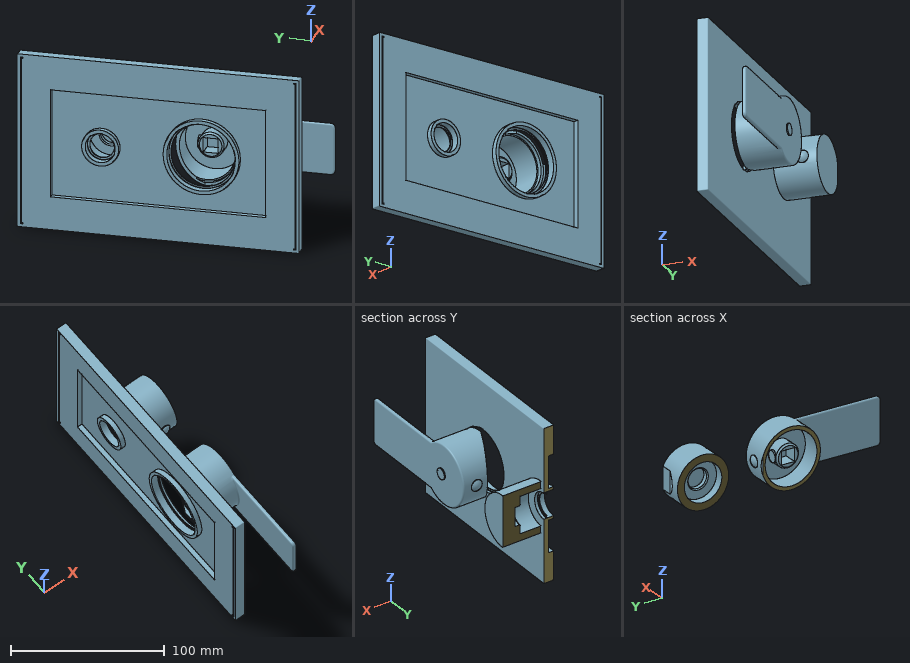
import cadquery as cq
import math


plate_thickness = 8.0
plate_length = 190.0
plate_height = 120.0
plate_edge_radius = 0.6
pocket_length = 145.0
pocket_height = 74.3
pocket_depth = 3.7

sleeve_wall = 2.5
lip_back = 5.0
lip_thickness = 0.6
large_lip_width = 1.5
small_lip_width = 1.6
large_sleeve_radius = 25.5
small_sleeve_radius = 12.5

plus_groove_width = 0.6
minus_groove_width = 0.5
groove_depth = 0.5
groove_margin = 2.2
groove_hook = 1.6

handle_y = -29.0
knob_y = 39.0
knob_gap = 2.0
grip_back = plate_thickness + knob_gap

handle_radius = 22.8
handle_wall = 3.0
handle_front = 39.5
handle_front_wall = 5.7
handle_rim_wall = 2.0
handle_rim_depth = 3.0
handle_edge_radius = 1.2
slope_depth = 10.6
hub_radius = 8.8
hub_length = 10.2
hub_chamfer = 1.2
square_size = 10.0
seat_radius = 4.3
seat_reach = 9.2
dot_radius = 4.0
dot_height = 0.8
dot_offset = 2.0

lever_thickness = 3.0
lever_height = 35.5
total_length = 204.0
lever_tip_y = plate_length / 2 - total_length
lever_corner_radius = 3.0
lever_edge_radius = 1.2
lever_root_radius = 1.0
selection_margin = 0.2

handle_button_x = 29.2
handle_button_height = 1.8

knob_radius = 20.0
knob_front = 40.4
knob_bore_radius = 14.3
knob_bore_depth = 16.3
knob_pilot_radius = 7.1
knob_pilot_depth = 4.0
knob_pilot_chamfer = 0.8
flat_depth = 1.8
flat_ramp_start = 26.1
flat_ramp_end = 31.6
knob_button_x = 30.2
knob_button_height = 2.5

button_radius = 4.3
button_root = 2.0


def x_cylinder(radius, x_start, x_end, y):
    """Cylinder along X, centred at the given Y on Z = 0."""
    return cq.Workplane("YZ", origin=(x_start, y, 0)).circle(radius).extrude(x_end - x_start)


def x_box(x_start, x_end, y_centre, y_size, z_centre, z_size):
    """Box between two X positions."""
    size_x = x_end - x_start
    centre = (x_start + size_x / 2, y_centre, z_centre)
    return cq.Workplane("XY").box(size_x, y_size, z_size).translate(centre)


def domed_button(height, x, y_surface, direction):
    """Round button with a spherical cap, standing out along +Y or -Y."""
    profile = (
        cq.Workplane("XY")
        .moveTo(0, -button_root)
        .lineTo(button_radius, -button_root)
        .lineTo(button_radius, 0)
    )
    sphere_radius = (button_radius**2 + height**2) / (2 * height)
    mid_x = button_radius / 2
    mid_y = height - sphere_radius + math.sqrt(sphere_radius**2 - mid_x**2)
    button = profile.threePointArc((mid_x, mid_y), (0, height)).close().revolve(360, (0, 0), (0, 1))
    if direction < 0:
        button = button.mirror("XZ")
    return button.translate((x, y_surface, 0))


def add_sleeve(plate, radius, lip_width, y):
    """Add a sleeve in the pocket and bore it through, leaving a thin lip inside the bore."""
    bore_radius = radius - sleeve_wall
    lip_front = lip_back + lip_thickness
    plate = plate.union(x_cylinder(radius, 0, plate_thickness, y))
    plate = plate.cut(x_cylinder(bore_radius, 0, lip_back, y))
    plate = plate.cut(x_cylinder(bore_radius - lip_width, lip_back, lip_front, y))
    return plate.cut(x_cylinder(bore_radius, lip_front, plate_thickness, y))


def end_groove(side, groove_width):
    """Bracket-shaped groove near one end of the back face."""
    outer_y = plate_length / 2 - groove_margin
    top_z = plate_height / 2 - groove_margin
    groove = x_box(0, groove_depth, side * (outer_y - groove_width / 2), groove_width, 0, 2 * top_z)
    for end in (1, -1):
        hook_y = side * (outer_y - groove_hook / 2)
        hook_z = end * (top_z - groove_width / 2)
        groove = groove.union(x_box(0, groove_depth, hook_y, groove_hook, hook_z, groove_width))
    return groove


def make_plate():
    plate = x_box(0, plate_thickness, 0, plate_length, 0, plate_height)
    plate = plate.edges("|X or >X").fillet(plate_edge_radius)
    plate = plate.cut(x_box(0, pocket_depth, 0, pocket_length, 0, pocket_height))
    plate = add_sleeve(plate, large_sleeve_radius, large_lip_width, handle_y)
    plate = add_sleeve(plate, small_sleeve_radius, small_lip_width, knob_y)
    for side, width in ((1, plus_groove_width), (-1, minus_groove_width)):
        plate = plate.cut(end_groove(side, width))
    return plate


def make_lever():
    """Flat blade from the handle axis to the tip, flush with the handle front."""
    length = handle_y - lever_tip_y
    lever = x_box(
        handle_front - lever_thickness, handle_front, handle_y - length / 2, length, 0, lever_height
    )
    lever = lever.edges("|X and <Y").fillet(lever_corner_radius)
    return lever.faces("<X or >X").edges("not >Y").fillet(lever_edge_radius)


def blend_lever_root(handle):
    """Fillet the corner where the lever leaves the round side of the handle."""
    lever_back = handle_front - lever_thickness
    near_corner = (lever_back - selection_margin, handle_y - handle_radius - selection_margin, -lever_height)
    far_corner = (handle_front - selection_margin, handle_y, lever_height)
    root_edges = cq.selectors.BoxSelector(near_corner, far_corner, boundingbox=True)
    return handle.edges(root_edges).fillet(lever_root_radius)


def handle_slope():
    """Wedge that slopes the +Y half of the handle rim away from the plate."""
    return (
        cq.Workplane("XY")
        .moveTo(grip_back, handle_y)
        .lineTo(grip_back + slope_depth, handle_y + handle_radius)
        .lineTo(grip_back, handle_y + handle_radius)
        .close()
        .extrude(handle_radius, both=True)
    )


def make_hub(cavity_floor):
    """Hub with a square socket and a flat round seat on its +Y side."""
    hub_back = cavity_floor - hub_length
    hub = x_cylinder(hub_radius, hub_back, cavity_floor, handle_y)
    hub = hub.faces("<X").edges().chamfer(hub_chamfer)
    seat = cq.Workplane("XZ", origin=(handle_button_x, handle_y, 0)).circle(seat_radius).extrude(-seat_reach)
    socket = x_box(hub_back, cavity_floor, handle_y, square_size, 0, square_size)
    return hub.union(seat).cut(socket)


def make_handle():
    handle = x_cylinder(handle_radius, grip_back, handle_front, handle_y)
    handle = handle.faces(">X").edges().fillet(handle_edge_radius)
    handle = blend_lever_root(handle.union(make_lever()))

    cavity_floor = handle_front - handle_front_wall
    rim_bore_radius = handle_radius - handle_rim_wall
    handle = handle.cut(x_cylinder(handle_radius - handle_wall, grip_back, cavity_floor, handle_y))
    handle = handle.cut(x_cylinder(rim_bore_radius, grip_back, grip_back + handle_rim_depth, handle_y))

    handle = handle.cut(handle_slope())
    handle = handle.union(make_hub(cavity_floor))

    dot_y = handle_y - dot_offset
    handle = handle.union(x_cylinder(dot_radius, cavity_floor, handle_front + dot_height, dot_y))

    return handle.union(domed_button(handle_button_height, handle_button_x, handle_y + handle_radius, 1))


def make_knob():
    knob = x_cylinder(knob_radius, grip_back, knob_front, knob_y)

    bore_floor = grip_back + knob_bore_depth
    knob = knob.cut(x_cylinder(knob_bore_radius, grip_back, bore_floor, knob_y))
    knob = knob.cut(x_cylinder(knob_pilot_radius, bore_floor, bore_floor + knob_pilot_depth, knob_y))
    mouth = (
        cq.Workplane("YZ", origin=(bore_floor, knob_y, 0))
        .circle(knob_pilot_radius + knob_pilot_chamfer)
        .workplane(offset=knob_pilot_chamfer)
        .circle(knob_pilot_radius)
        .loft()
    )
    knob = knob.cut(mouth)

    top_y = knob_y + knob_radius
    flat = (
        cq.Workplane("XY")
        .moveTo(flat_ramp_start, top_y)
        .lineTo(flat_ramp_end, top_y - flat_depth)
        .lineTo(knob_front, top_y - flat_depth)
        .lineTo(knob_front, top_y)
        .close()
        .extrude(knob_radius, both=True)
    )
    knob = knob.cut(flat)
    return knob.union(domed_button(knob_button_height, knob_button_x, knob_y - knob_radius, -1))


plate = make_plate()
handle = make_handle()
knob = make_knob()

result = cq.Compound.makeCompound([body.solids().val() for body in (plate, handle, knob)])